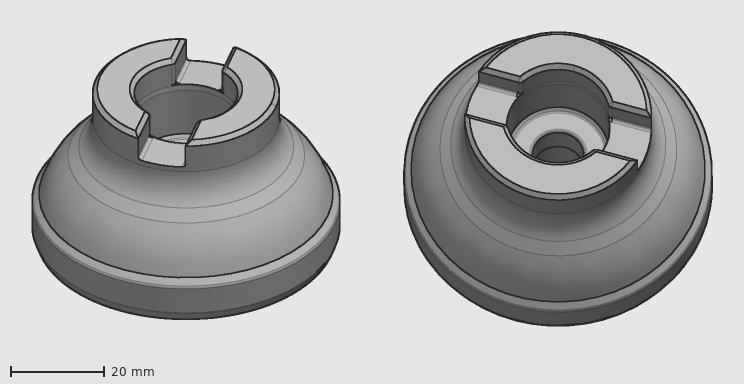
import cadquery as cq
import math

height = 40.0
rim_radius = 33.0
hole_radius = 11.0 / 2

seat_height = 12.75
seat_radius = 31.5
base_radius = 26.2
heel_radius = 32.15
heel_height = 2.25
rim_bottom = 4.55
rim_top = seat_height - (rim_radius - seat_radius)
rim_blend = 0.5
rim_top_blend = 0.85

boss_radius = 20.0
boss_bottom = 32.4
neck_arc_radius = 10.35
dome_top_radius = 25.35

relief_radius = 22.2 / 2
bore_radius = 22.0 / 2
relief_bottom = 33.4
bore_top = 32.15
floor_height = 20.0
floor_radius = 10.2
floor_blend = 0.5
hole_bevel = 0.45

slot_width = 10.5
slot_depth = 6.4
slot_floor = height - slot_depth
slot_floor_fillet = 0.8
slot_corner_fillet = 1.05
root_start = 10.55
top_chamfer = 1.0

margin = 0.05

cos45 = math.sqrt(0.5)


def revolve_about_z(profile):
    """Revolve a closed (radius, height) profile drawn on the XZ plane about Z."""
    return profile.close().revolve(360, (0, 0, 0), (0, 1, 0))


def circle_at(radius, level):
    """Selector for the circular edge about Z with this radius and height."""
    reach = radius + margin
    return cq.selectors.BoxSelector(
        (-reach, -reach, level - margin), (reach, reach, level + margin), boundingbox=True
    )


def make_ring():
    """Solid disc with a bevelled top rim and a sloping underside."""
    ring = revolve_about_z(
        cq.Workplane("XZ")
        .moveTo(hole_radius, 0)
        .lineTo(base_radius, 0)
        .lineTo(heel_radius, heel_height)
        .lineTo(rim_radius, rim_bottom)
        .lineTo(rim_radius, rim_top)
        .lineTo(seat_radius, seat_height)
        .lineTo(hole_radius, seat_height)
    )
    for corner_radius, corner_height, blend in (
        (heel_radius, heel_height, rim_blend),
        (rim_radius, rim_bottom, rim_blend),
        (rim_radius, rim_top, rim_top_blend),
    ):
        ring = ring.edges(circle_at(corner_radius, corner_height)).fillet(blend)
    return ring


def make_body_blank():
    """Bell-shaped outside with a stepped bore, before the slot is cut."""
    neck_centre_radius = boss_radius + neck_arc_radius
    neck_mid = (
        neck_centre_radius - neck_arc_radius * math.cos(math.pi / 8),
        boss_bottom - neck_arc_radius * math.sin(math.pi / 8),
    )
    neck_end = (
        neck_centre_radius - neck_arc_radius * cos45,
        boss_bottom - neck_arc_radius * cos45,
    )
    dome_start = (dome_top_radius, neck_end[1] - (dome_top_radius - neck_end[0]))
    spread = seat_radius - dome_top_radius
    drop = dome_start[1] - seat_height
    dome_arc_radius = (spread**2 + drop**2) / (2 * cos45 * (drop - spread))
    dome_centre = (
        dome_start[0] - dome_arc_radius * cos45,
        dome_start[1] - dome_arc_radius * cos45,
    )
    end_angle = math.asin((seat_height - dome_centre[1]) / dome_arc_radius)
    mid_angle = (math.pi / 4 + end_angle) / 2
    dome_mid = (
        dome_centre[0] + dome_arc_radius * math.cos(mid_angle),
        dome_centre[1] + dome_arc_radius * math.sin(mid_angle),
    )

    return revolve_about_z(
        cq.Workplane("XZ")
        .moveTo(relief_radius, height)
        .lineTo(boss_radius, height)
        .lineTo(boss_radius, boss_bottom)
        .threePointArc(neck_mid, neck_end)
        .lineTo(*dome_start)
        .threePointArc(dome_mid, (seat_radius, seat_height))
        .lineTo(hole_radius, seat_height)
        .lineTo(hole_radius, floor_height - hole_bevel)
        .lineTo(hole_radius + hole_bevel, floor_height)
        .lineTo(floor_radius, floor_height)
        .lineTo(bore_radius, floor_height + bore_radius - floor_radius)
        .lineTo(bore_radius, bore_top)
        .lineTo(relief_radius, relief_bottom)
    )


def make_slot_cutter():
    """Slot across the boss: rounded roots outside, square roots next to the bore."""
    floor_plane = cq.Workplane("XY", origin=(0, 0, slot_floor))
    above_floor = (True, True, False)
    rounded = floor_plane.box(slot_width, 2 * rim_radius, 2 * slot_depth, centered=above_floor)
    rounded = rounded.edges("|Y and <Z").fillet(slot_floor_fillet)
    square = floor_plane.box(slot_width, 2 * root_start, 2 * slot_depth, centered=above_floor)
    return rounded.union(square)


def make_body():
    """Bell-shaped body with a drive slot across its boss."""
    body = make_body_blank()
    body = body.edges(circle_at(floor_radius, floor_height)).fillet(floor_blend)
    body = body.cut(make_slot_cutter())
    bore_corners = cq.selectors.BoxSelector(
        (-slot_width / 2 - margin, -root_start + margin, slot_floor),
        (slot_width / 2 + margin, root_start - margin, height),
    )
    body = body.edges("|Z").edges(bore_corners).fillet(slot_corner_fillet)
    return body.faces(">Z").chamfer(top_chamfer)


ring = make_ring()
body = make_body()
result = cq.Compound.makeCompound([ring.val(), body.val()])